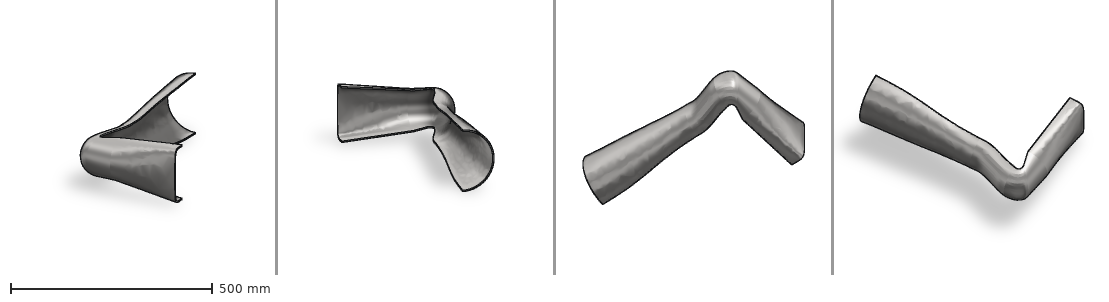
import cadquery as cq
import math


LENGTH = 487.0
FOOT_REACH = 284.5
CALF_HALF_WIDTH = 80.5
ANKLE_HALF_WIDTH = 52.0
INSTEP_HALF_WIDTH = 55.5
TOE_HALF_WIDTH = 73.0
TOE_DEPTH = 40.5
SHELL = 4.0
ROUND = 2.0
BOXY = 6.0
ARC_STEPS = 20


def outer_curve(outer, inner, half_width, exponent):
    """Half superellipse from the +Z rim to the -Z rim, through the outer (x, y) crown."""
    across = cq.Vector(outer[0] - inner[0], outer[1] - inner[1], 0)
    base = cq.Vector(inner[0], inner[1], 0)
    points = [base + cq.Vector(0, 0, half_width)]
    for step in range(1, ARC_STEPS):
        angle = math.pi * step / ARC_STEPS
        cosine = math.cos(angle)
        width = math.copysign(abs(cosine) ** (2 / exponent), cosine) * half_width
        depth = math.sin(angle) ** (2 / exponent)
        points.append(base + across * depth + cq.Vector(0, 0, width))
    points.append(base - cq.Vector(0, 0, half_width))
    return cq.Edge.makeSpline(points)


def section(outer, inner, half_width, exponent=ROUND):
    """C-shaped wire of the shell: crown at outer (x, y), rims at inner (x, y)."""
    span = math.dist(outer, inner)
    lining_crown = tuple(o + (i - o) * SHELL / span for o, i in zip(outer, inner))
    outside = outer_curve(outer, inner, half_width, exponent)
    inside = outer_curve(lining_crown, inner, half_width - SHELL, exponent)
    lower_rim = cq.Edge.makeLine(outside.endPoint(), inside.endPoint())
    upper_rim = cq.Edge.makeLine(inside.startPoint(), outside.startPoint())
    return cq.Wire.assembleEdges([outside, lower_rim, inside, upper_rim])


def leg_section(height, outer_x, inner_x, half_width):
    """Section square to the leg at a given Y."""
    return section((outer_x, height), (inner_x, height), half_width)


ankle_top = leg_section(178.0, 28.5, 80.5, ANKLE_HALF_WIDTH)
heel_top = leg_section(64.5, 0.0, 51.5, ANKLE_HALF_WIDTH)
heel_end = section((31.0, 11.0), (65.5, 46.3), ANKLE_HALF_WIDTH)
instep = section((104.5, 0.0), (104.5, 56.5), INSTEP_HALF_WIDTH)
toe = section((FOOT_REACH, 0.0), (FOOT_REACH, TOE_DEPTH), TOE_HALF_WIDTH, BOXY)

calf_sections = [
    leg_section(LENGTH, 14.0, 95.0, CALF_HALF_WIDTH),
    leg_section(418.5, 19.0, 94.5, 77.5),
    leg_section(336.0, 23.0, 88.5, 68.5),
    leg_section(272.5, 26.5, 83.3, 59.5),
    leg_section(209.5, 28.0, 82.0, ANKLE_HALF_WIDTH),
    ankle_top,
]
calf = cq.Solid.makeLoft(calf_sections)

ankle_sections = [
    ankle_top,
    leg_section(136.5, 25.0, 75.5, ANKLE_HALF_WIDTH),
    leg_section(97.5, 9.5, 61.5, ANKLE_HALF_WIDTH),
    heel_top,
]
ankle = cq.Solid.makeLoft(ankle_sections)

heel_sections = [
    heel_top,
    section((1.5, 44.0), (50.0, 54.0), ANKLE_HALF_WIDTH),
    section((10.0, 23.0), (54.5, 47.5), ANKLE_HALF_WIDTH),
    heel_end,
]
heel = cq.Solid.makeLoft(heel_sections)

foot_root = cq.Solid.makeLoft([heel_end, instep], True)
foot = cq.Solid.makeLoft([instep, toe], True)

result = cq.Workplane(obj=calf.fuse(ankle, heel, foot_root, foot))